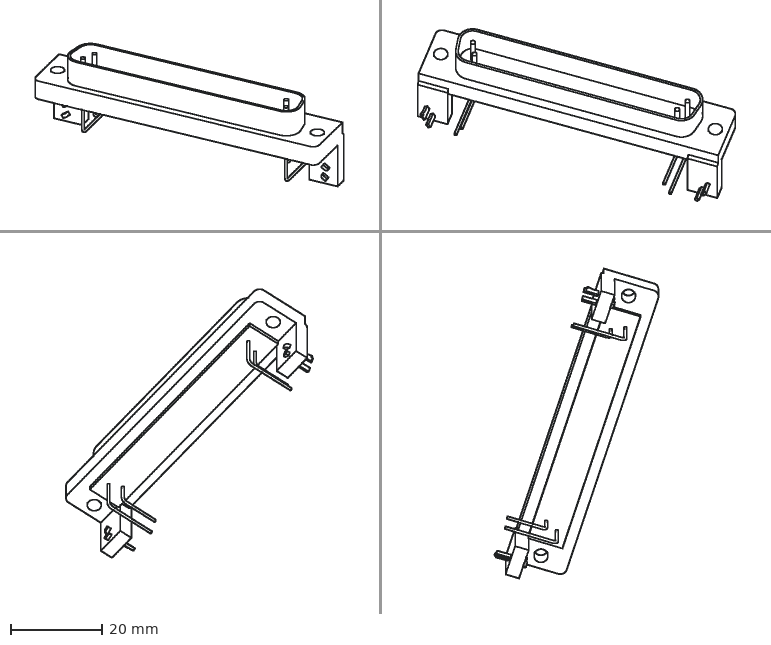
import cadquery as cq
import math


LENGTH = 69.4
HEIGHT = 20.8
DEPTH = 16.8
FLANGE_DEPTH = 13.0
FLANGE_BOTTOM = 10.3
FLANGE_TOP = 14.85
CORNER_RADIUS = 1.5
LEG_WIDTH = 6.95
LEG_FRONT = 10.5
LEG_BACK = 13.6
LEG_SLOPE_TOP = 12.15
LEG_SLOPE_BOTTOM = LEG_SLOPE_TOP - (LEG_BACK - FLANGE_DEPTH)

HOLE_X = 31.8
HOLE_Y = 6.4
HOLE_DIAMETER = 3.05

STEP_LENGTH = 56.8
STEP_BOTTOM = 9.2
STEP_FRONT = FLANGE_DEPTH - LEG_FRONT

SHELL_FRONT = 1.7
SHELL_BACK = 11.0
SHELL_RADIUS = 3.25
SHELL_ARC_X = 24.9
SHELL_WALL = 0.55
SHELL_FLOOR = 14.4
SIDE_ANGLE = math.radians(10)

OUTER_CONTACT = (24.85, 4.9, 1.6)
INNER_CONTACT = (23.45, 7.85, 4.4)
CONTACT_DIAMETER = 1.05
CONTACT_TOP = 20.25
TAIL_DIAMETER = 0.6
TAIL_BEND = 1.1

LOCK_X = 31.8
LOCK_Z = 3.05
LOCK_TILT = 33
TAB_LENGTH = 1.5
TAB_THICKNESS = 0.8
TAB_REACH = TAB_LENGTH / 2
TAB_SPACING = 2.2
TAB_SHIFT = 0.55
PRONG_WIDTH = 0.7
PRONG_THICKNESS = 1.0
PRONG_SPREAD = 2.5
BARB_HEIGHT = 0.3
BARB_LENGTH = 1.25
BARB_TO_TIP = 0.6
BARB_TIP_CHAMFER = 0.4


def both_sides(half):
    """Join a shape with its copy across the middle plane."""
    return half.union(half.mirror("YZ"))


def box_between(x_range, y_range, z_range):
    size = [high - low for low, high in (x_range, y_range, z_range)]
    return cq.Workplane("XY").box(*size, centered=False).translate((x_range[0], y_range[0], z_range[0]))


def make_flange():
    flange = box_between((-LENGTH / 2, LENGTH / 2), (0, FLANGE_DEPTH), (FLANGE_BOTTOM, FLANGE_TOP))
    return flange.edges("|Z and <Y").fillet(CORNER_RADIUS)


def make_leg():
    profile = [
        (LEG_FRONT, 0),
        (LEG_BACK, 0),
        (LEG_BACK, LEG_SLOPE_BOTTOM),
        (FLANGE_DEPTH, LEG_SLOPE_TOP),
        (LEG_FRONT, LEG_SLOPE_TOP),
    ]
    return cq.Workplane("YZ", origin=(-LENGTH / 2, 0, 0)).polyline(profile).close().extrude(LEG_WIDTH)


def make_step():
    return box_between(
        (-STEP_LENGTH / 2, STEP_LENGTH / 2), (STEP_FRONT, LEG_FRONT), (STEP_BOTTOM, FLANGE_BOTTOM)
    )


def make_shell():
    """Return the outside of the shell and the cavity that hollows it down into the flange."""
    arc_y = SHELL_FRONT + SHELL_RADIUS

    def side_x(y):
        return SHELL_ARC_X + SHELL_RADIUS / math.cos(SIDE_ANGLE) - (y - arc_y) * math.tan(SIDE_ANGLE)

    front_x = side_x(SHELL_FRONT)
    back_x = side_x(SHELL_BACK)
    corners = [
        (-front_x, SHELL_FRONT),
        (front_x, SHELL_FRONT),
        (back_x, SHELL_BACK),
        (-back_x, SHELL_BACK),
    ]
    outside = (
        cq.Workplane("XY", origin=(0, 0, FLANGE_TOP))
        .polyline(corners).close()
        .extrude(HEIGHT - FLANGE_TOP)
        .edges("|Z").fillet(SHELL_RADIUS)
    )
    rim = outside.faces(">Z").wires().toPending()
    cavity = rim.offset2D(-SHELL_WALL).extrude(SHELL_FLOOR - HEIGHT, combine=False)
    return outside, cavity


def make_contact(x, y, tail_z):
    pin = (
        cq.Workplane("XY", origin=(-x, y, FLANGE_BOTTOM))
        .circle(CONTACT_DIAMETER / 2)
        .extrude(CONTACT_TOP - FLANGE_BOTTOM)
    )
    path = (
        cq.Workplane("YZ", origin=(-x, 0, 0))
        .moveTo(y, FLANGE_BOTTOM)
        .lineTo(y, tail_z + TAIL_BEND)
        .radiusArc((y + TAIL_BEND, tail_z), -TAIL_BEND)
        .lineTo(DEPTH, tail_z)
    )
    tail = cq.Workplane("XY", origin=(-x, y, FLANGE_BOTTOM)).circle(TAIL_DIAMETER / 2).sweep(path)
    return pin.union(tail)


def make_lock_half(has_barb):
    """One tab and prong, built level at the origin: X along the tab, Z away from the other half."""
    tab = (
        cq.Workplane("XY", origin=(0, 0, TAB_SPACING / 2 - TAB_THICKNESS / 2))
        .moveTo(TAB_LENGTH / 2, LEG_FRONT)
        .lineTo(TAB_LENGTH / 2, LEG_FRONT - TAB_REACH)
        .lineTo(0, LEG_FRONT - TAB_REACH)
        .radiusArc((-TAB_REACH, LEG_FRONT), TAB_REACH)
        .close()
        .extrude(TAB_THICKNESS)
        .translate((TAB_SHIFT, 0, 0))
    )
    prong_top = PRONG_SPREAD / 2 + PRONG_THICKNESS / 2
    prong = box_between(
        (-PRONG_WIDTH / 2, PRONG_WIDTH / 2), (LEG_BACK, DEPTH), (prong_top - PRONG_THICKNESS, prong_top)
    )
    if has_barb:
        prong = prong.edges("<X and >Y").chamfer(BARB_TIP_CHAMFER)
        barb_end = DEPTH - BARB_TO_TIP
        barb_profile = [
            (barb_end - BARB_LENGTH, prong_top),
            (barb_end, prong_top + BARB_HEIGHT),
            (barb_end, prong_top),
        ]
        barb = (
            cq.Workplane("YZ", origin=(-PRONG_WIDTH / 2, 0, 0))
            .polyline(barb_profile).close()
            .extrude(PRONG_WIDTH)
        )
        prong = prong.union(barb)
    return tab.union(prong)


def make_lock():
    upper = make_lock_half(True)
    lower = make_lock_half(False).rotate((0, 0, 0), (0, 1, 0), 180)
    lock = upper.union(lower)
    return lock.rotate((0, 0, 0), (0, 1, 0), -LOCK_TILT).translate((-LOCK_X, 0, LOCK_Z))


left_half = make_leg().union(make_lock())
for contact in (OUTER_CONTACT, INNER_CONTACT):
    left_half = left_half.union(make_contact(*contact))

holes = (
    cq.Workplane("XY", origin=(0, 0, FLANGE_BOTTOM))
    .pushPoints([(-HOLE_X, HOLE_Y), (HOLE_X, HOLE_Y)])
    .circle(HOLE_DIAMETER / 2)
    .extrude(FLANGE_TOP - FLANGE_BOTTOM)
)

shell, cavity = make_shell()
body = make_flange().cut(holes).union(make_step()).union(shell).cut(cavity)
result = body.union(both_sides(left_half))